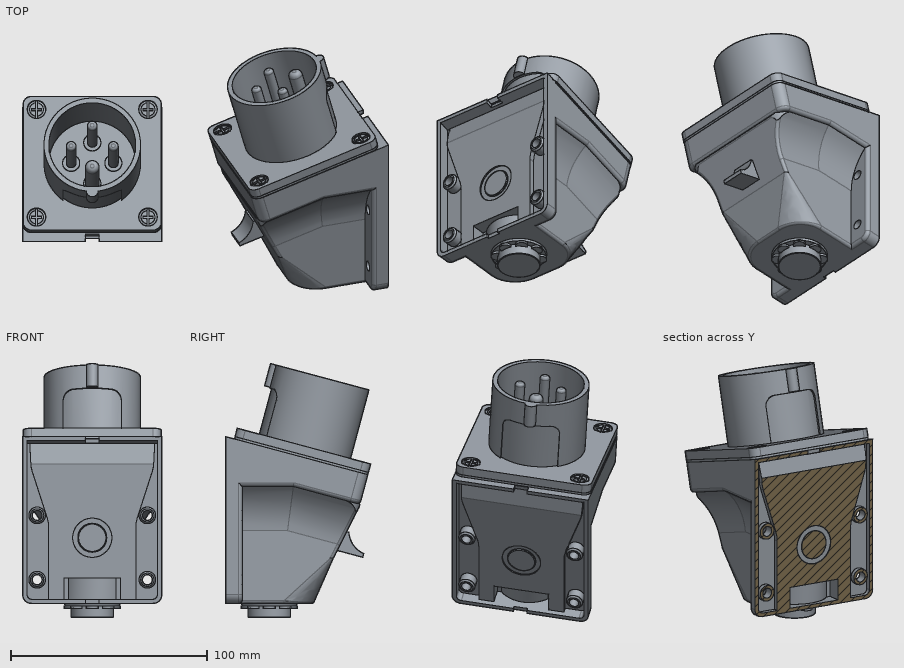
import cadquery as cq
import math

TILT_DEGREES = 15
TILT = math.radians(TILT_DEGREES)
SIN, COS = math.sin(TILT), math.cos(TILT)
CUT_EXTRA = 1.0
TOLERANCE = 0.01

FLANGE_SIZE = 70.5
FLANGE_THICKNESS = 4.5
FLANGE_CORNER = 4.25
LIP_HEIGHT = 1.2
LIP_INSET = 0.1
FLANGE_CENTRE_Y = 39.92
FLANGE_CENTRE_Z = 80.25
COLLAR_OD = 49.25
COLLAR_ID = 44.25
COLLAR_HEIGHT = 36.2
KEY_WIDTH = 6.1
KEY_REACH = 27.4
KEY_LENGTH = 11.8
WINDOW_WIDTH = 29.6
WINDOW_DEPTH = 1.0
WINDOW_CORNER = 5.0
WINDOW_KEY_GAP = 0.4
WINDOW_TOP = COLLAR_HEIGHT - KEY_LENGTH - WINDOW_KEY_GAP
PIN_CIRCLE_RADIUS = 10.75
PIN_HEIGHT = 34.5
PIN_D = 5.0
EARTH_PIN_D = 7.0
PIN_TIP_FLAT_D = 2.0
PIN_COLLAR_D = 8.75
PIN_COLLAR_HEIGHT = 0.5
SCREW_OFFSET = 28.4
SCREW_RECESS_D = 9.5
SCREW_RECESS_DEPTH = 2.5
SCREW_HEAD_D = 9.3
SCREW_TOP_D = 7.0
SCREW_SINK = 0.3
SCREW_BEVEL_HEIGHT = 0.4
SLOT_WIDTH = 1.2
SLOT_DEPTH = 1.0
CROSS_LENGTH = 5.3

HOUSING_WIDTH = 71.0
HALF_WIDTH = HOUSING_WIDTH / 2
TRAY_DEPTH = 8.5
TRAY_FLOOR_Y = 5.8
TRAY_CORNER = 4.5
TRAY_INNER_CORNER = 2.5
TRAY_WALL = 2.3
TRAY_BOTTOM_WALL = 2.1
BOX_CORNER = 5.1
BOX_DEPTH = 21.35
BOX_EDGE_RADIUS = 1.9
TRAY_SHOULDER_Z = 59.6
NOTCH_WIDTH = 7.0
TOP_NOTCH_DEPTH = 3.9
BOTTOM_NOTCH_DEPTH = 1.5

HUMP_HALF_WIDTH = 23.6
FLARE_CORNER = 8.0
FLARE_DROP = 22.5
HUMP_BEND_Y, HUMP_BEND_Z = 54.9, 23.1
HUMP_BACK_Y, HUMP_BACK_Z = 68.5, 50.1
HUMP_BOTTOM_Y = 44.7
HUMP_BOTTOM_CORNER = 16.5
HUMP_BACK_RADIUS = 1.5
HUMP_FOOT_RADIUS = 1.5

PLATE_Y = 2.8
PLATE_LOW_HALF_WIDTH = 22.2
PLATE_LOW_Z = 41.3
PLATE_HIGH_HALF_WIDTH = 31.2
PLATE_HIGH_Z = 69.2
PLATE_TOP_HALF_WIDTH = 32.0
PLATE_EDGE_RADIUS = 15.0
PLATE_BEND_Z = 71.1
KNOCKOUT_D = 20.0
KNOCKOUT_Z = 33.5
KNOCKOUT_DEPTH = 0.8
KNOCKOUT_DISC_D = 14.8
KNOCKOUT_BEVEL = 0.45

BOSS_X = 28.07
BOSS_ZS = (12.1, 44.9)
BOSS_D = 8.5
BOSS_TIP_D = 6.75
BOSS_HOLE_D = 5.0
BOSS_TIP_Y = 0.2

GLAND_Y = 22.2
GLAND_FLANGE_D = 28.6
GLAND_NECK_END_D = 27.7
GLAND_TUBE_D = 21.75
GLAND_INNER_D = 33.2
GLAND_NECK_HEIGHT = 1.2
GLAND_FLANGE_BOTTOM = -2.5
GLAND_BOTTOM = -7.07
GLAND_CHAMFER = 0.3
GLAND_LOBES = 8
GLAND_LOBE_D = 6.2
GLAND_SLOT_TOP = 12.9
GLAND_SLOT_BACK_Y = 10.8

RIB_WIDTH = 12.0
RIB_THICKNESS = 2.0
RIB_TIP = (70.4, 25.4)
RIB_ARC_MIDDLE = (64.7, 30.4)
RIB_ARC_TOP = (62.8, 36.5)
RIB_ROOT_Y = 50.0


def tilted(v, w):
    """(y, z) of a point v along the flange towards +Y and w above the flange top."""
    return FLANGE_CENTRE_Y + v * COS + w * SIN, FLANGE_CENTRE_Z - v * SIN + w * COS


FLANGE_HALF = FLANGE_SIZE / 2
SEAT_W = -FLANGE_THICKNESS - LIP_HEIGHT
SEAT_Y, SEAT_Z = tilted(0, SEAT_W)
FRONT_TOP_Z = SEAT_Z + SEAT_Y * math.tan(TILT)
BREAK_V = (FLANGE_CENTRE_Z - BOX_DEPTH * COS - TRAY_SHOULDER_Z) / SIN
BREAK_Y = tilted(BREAK_V, -BOX_DEPTH)[0]


def tilt_into_place(body):
    """Turn a body built upright on the flange top, and put it on the housing."""
    leaning = body.rotate((0, 0, 0), (1, 0, 0), -TILT_DEGREES)
    return leaning.translate((0, FLANGE_CENTRE_Y, FLANGE_CENTRE_Z))


def side_extrusion(points, width):
    """Closed outline of (y, z) points, extruded symmetrically along X."""
    return cq.Workplane("YZ").polyline(points).close().extrude(width / 2, both=True)


def rod(x, y, z, diameter, y_end):
    """Cylinder along +Y from y to y_end."""
    plane = cq.Plane(origin=(x, y, z), xDir=(1, 0, 0), normal=(0, 1, 0))
    return cq.Workplane(plane).circle(diameter / 2).extrude(y_end - y)


def flange():
    plate = (
        cq.Workplane("XY")
        .rect(FLANGE_SIZE, FLANGE_SIZE)
        .extrude(-FLANGE_THICKNESS)
        .edges("|Z")
        .fillet(FLANGE_CORNER)
    )
    lip_size = FLANGE_SIZE - 2 * LIP_INSET
    lip = (
        cq.Workplane("XY").workplane(offset=-FLANGE_THICKNESS)
        .rect(lip_size, lip_size)
        .extrude(-LIP_HEIGHT)
        .edges("|Z")
        .fillet(FLANGE_CORNER - LIP_INSET)
    )
    return plate.union(lip)


def collar():
    outer_radius = COLLAR_OD / 2
    tube = cq.Workplane("XY").circle(outer_radius).extrude(COLLAR_HEIGHT)
    key_radius = KEY_WIDTH / 2
    nose_y = -(KEY_REACH - key_radius)
    key = (
        cq.Workplane("XY").workplane(offset=COLLAR_HEIGHT)
        .moveTo(-key_radius, -COLLAR_ID / 2)
        .lineTo(-key_radius, nose_y)
        .threePointArc((0, -KEY_REACH), (key_radius, nose_y))
        .lineTo(key_radius, -COLLAR_ID / 2)
        .close()
        .extrude(-KEY_LENGTH)
    )
    bore = cq.Workplane("XY").circle(COLLAR_ID / 2).extrude(COLLAR_HEIGHT)
    return tube.cut(window()).union(key).cut(bore)


def window():
    """Shallow round-cornered recess in the collar's outside, below the key."""
    opening = (
        cq.Workplane("XZ")
        .center(0, WINDOW_TOP / 2)
        .rect(WINDOW_WIDTH, WINDOW_TOP)
        .extrude(COLLAR_OD)
        .edges("|Y and >Z")
        .fillet(WINDOW_CORNER)
    )
    core_radius = COLLAR_OD / 2 - WINDOW_DEPTH
    core = cq.Workplane("XY").circle(core_radius).extrude(COLLAR_HEIGHT)
    return opening.cut(core)


def pin(x, y, diameter):
    tip_radius = (diameter - PIN_TIP_FLAT_D) / 2
    body = (
        cq.Workplane("XY")
        .center(x, y)
        .circle(diameter / 2)
        .extrude(PIN_HEIGHT)
        .faces(">Z")
        .edges()
        .fillet(tip_radius)
    )
    foot = cq.Workplane("XY").center(x, y).circle(PIN_COLLAR_D / 2).extrude(PIN_COLLAR_HEIGHT)
    return body.union(foot)


def screw_recess(x, y):
    return cq.Workplane("XY").center(x, y).circle(SCREW_RECESS_D / 2).extrude(-SCREW_RECESS_DEPTH)


def screw_head(x, y):
    top = cq.Workplane("XY").workplane(offset=-SCREW_SINK).center(x, y)
    head = (
        top.circle(SCREW_HEAD_D / 2)
        .extrude(SCREW_SINK - SCREW_RECESS_DEPTH)
        .faces(">Z")
        .chamfer(SCREW_BEVEL_HEIGHT, (SCREW_HEAD_D - SCREW_TOP_D) / 2)
    )
    slot = top.rect(SLOT_WIDTH, SCREW_HEAD_D).extrude(-SLOT_DEPTH)
    cross = top.rect(CROSS_LENGTH, SLOT_WIDTH).extrude(-SLOT_DEPTH)
    return head.cut(slot).cut(cross)


def make_inlet():
    body = flange().union(collar())
    body = body.union(pin(0, -PIN_CIRCLE_RADIUS, EARTH_PIN_D))
    for x, y in ((-PIN_CIRCLE_RADIUS, 0), (0, PIN_CIRCLE_RADIUS), (PIN_CIRCLE_RADIUS, 0)):
        body = body.union(pin(x, y, PIN_D))
    for x in (-SCREW_OFFSET, SCREW_OFFSET):
        for y in (-SCREW_OFFSET, SCREW_OFFSET):
            body = body.cut(screw_recess(x, y)).union(screw_head(x, y))
    return tilt_into_place(body)


def tray_and_box():
    """Full-width L-shaped body: the tray at the front and the tilted box carrying the inlet."""
    box_back_low = tilted(FLANGE_HALF, -BOX_DEPTH)
    outline = [
        (0, 0),
        (TRAY_DEPTH, 0),
        (TRAY_DEPTH, TRAY_SHOULDER_Z),
        (BREAK_Y, TRAY_SHOULDER_Z),
        box_back_low,
        tilted(FLANGE_HALF, SEAT_W),
        (0, FRONT_TOP_Z),
    ]
    body = side_extrusion(outline, HOUSING_WIDTH)
    body = body.edges("|Y").edges("<Z").fillet(TRAY_CORNER)
    body = body.edges(cq.selectors.ParallelDirSelector(cq.Vector(0, SIN, COS))).fillet(BOX_CORNER)
    rim = [edge for edge in body.edges().vals() if is_lower_edge(edge)]
    return body.newObject(rim).fillet(BOX_EDGE_RADIUS)


def is_lower_edge(edge):
    """True along the tray's back rim and the rim of the box underside."""
    c = edge.Center()
    outer = abs(c.x) > TOLERANCE or c.y > HUMP_BEND_Y
    w = (c.y - FLANGE_CENTRE_Y) * SIN + (c.z - FLANGE_CENTRE_Z) * COS
    on_tray = abs(c.y - TRAY_DEPTH) < TOLERANCE and c.z < TRAY_SHOULDER_Z - TOLERANCE
    on_level = outer and abs(c.z - TRAY_SHOULDER_Z) < TOLERANCE
    on_slope = outer and abs(w + BOX_DEPTH) < TOLERANCE
    return on_tray or on_level or on_slope


def flare_prism(plane):
    """Prism whose width narrows along concave arcs below the box underside (local y = 0)."""
    wide = HALF_WIDTH - BOX_EDGE_RADIUS
    reach = wide - HUMP_HALF_WIDTH
    radius = (reach**2 + FLARE_DROP**2) / (2 * reach)
    half_angle = math.atan2(reach, FLARE_DROP)
    mid_x = HUMP_HALF_WIDTH + radius * (1 - math.cos(half_angle))
    mid_y = radius * math.sin(half_angle) - FLARE_DROP
    low = -TRAY_SHOULDER_Z
    return (
        cq.Workplane(plane)
        .moveTo(-HUMP_HALF_WIDTH, low)
        .lineTo(-HUMP_HALF_WIDTH, -FLARE_DROP)
        .threePointArc((-mid_x, mid_y), (-wide, 0))
        .lineTo(-wide, BOX_EDGE_RADIUS)
        .lineTo(wide, BOX_EDGE_RADIUS)
        .lineTo(wide, 0)
        .threePointArc((mid_x, mid_y), (HUMP_HALF_WIDTH, -FLARE_DROP))
        .lineTo(HUMP_HALF_WIDTH, low)
        .close()
        .extrude(HOUSING_WIDTH, both=True)
    )


def upper_hump():
    outline = [
        (TRAY_FLOOR_Y, HUMP_BEND_Z),
        (HUMP_BEND_Y, HUMP_BEND_Z),
        (HUMP_BACK_Y, HUMP_BACK_Z),
        tilted(FLANGE_HALF - BOX_EDGE_RADIUS, -BOX_DEPTH + BOX_EDGE_RADIUS),
        (BREAK_Y, TRAY_SHOULDER_Z + BOX_EDGE_RADIUS),
        (TRAY_FLOOR_Y, TRAY_SHOULDER_Z + BOX_EDGE_RADIUS),
    ]
    origin = (0, BREAK_Y, TRAY_SHOULDER_Z)
    level = flare_prism(cq.Plane(origin=origin, xDir=(1, 0, 0), normal=(0, -1, 0)))
    sloped = flare_prism(cq.Plane(origin=origin, xDir=(1, 0, 0), normal=(0, -COS, SIN)))
    body = side_extrusion(outline, HOUSING_WIDTH).intersect(level.union(sloped))
    back_normal = cq.Vector(0, HUMP_BACK_Z - HUMP_BEND_Z, HUMP_BEND_Y - HUMP_BACK_Y)
    back = body.faces(cq.selectors.DirectionMinMaxSelector(back_normal, True))
    body = back.edges("not |X").fillet(HUMP_BACK_RADIUS)
    return body.intersect(box_footprint())


def box_footprint():
    """Tilted round-cornered prism that keeps the flare inside the box's back corners."""
    width = HOUSING_WIDTH - 2 * BOX_EDGE_RADIUS
    prism = (
        cq.Workplane("XY")
        .rect(width, 2 * FLANGE_SIZE)
        .extrude(2 * HOUSING_WIDTH, both=True)
        .translate((0, -FLANGE_HALF, 0))
        .edges("|Z and >Y")
        .fillet(FLARE_CORNER)
    )
    return tilt_into_place(prism)


def hump_section(sketch, back_y, corner):
    inner = HUMP_HALF_WIDTH - corner
    diagonal = corner * math.sqrt(0.5)
    corner_y = back_y - corner
    return (
        sketch.moveTo(-HUMP_HALF_WIDTH, TRAY_FLOOR_Y)
        .lineTo(-HUMP_HALF_WIDTH, corner_y)
        .threePointArc((-inner - diagonal, corner_y + diagonal), (-inner, back_y))
        .lineTo(inner, back_y)
        .threePointArc((inner + diagonal, corner_y + diagonal), (HUMP_HALF_WIDTH, corner_y))
        .lineTo(HUMP_HALF_WIDTH, TRAY_FLOOR_Y)
        .close()
    )


def lower_hump():
    """Ruled body whose back corners widen from nearly sharp to large rounds at the bottom."""
    bottom = hump_section(cq.Workplane("XY"), HUMP_BOTTOM_Y, HUMP_BOTTOM_CORNER)
    both = hump_section(bottom.workplane(offset=HUMP_BEND_Z), HUMP_BEND_Y, HUMP_BACK_RADIUS)
    return both.loft(ruled=True).faces("<Z").edges("not <Y").fillet(HUMP_FOOT_RADIUS)


def rib():
    tip_low = (RIB_TIP[0] - RIB_THICKNESS * SIN, RIB_TIP[1] - RIB_THICKNESS * COS)
    root_z = tip_low[1] + (tip_low[0] - RIB_ROOT_Y) * math.tan(TILT)
    return (
        cq.Workplane("YZ")
        .moveTo(*tip_low)
        .lineTo(*RIB_TIP)
        .threePointArc(RIB_ARC_MIDDLE, RIB_ARC_TOP)
        .lineTo(RIB_ROOT_Y, RIB_ARC_TOP[1])
        .lineTo(RIB_ROOT_Y, root_z)
        .close()
        .extrude(RIB_WIDTH / 2, both=True)
    )


def tray_pocket():
    inner_half = HALF_WIDTH - TRAY_WALL
    top_z = FRONT_TOP_Z - TRAY_BOTTOM_WALL
    outline = [
        (-CUT_EXTRA, TRAY_BOTTOM_WALL),
        (TRAY_FLOOR_Y, TRAY_BOTTOM_WALL),
        (TRAY_FLOOR_Y, top_z - TRAY_FLOOR_Y * math.tan(TILT)),
        (-CUT_EXTRA, top_z + CUT_EXTRA * math.tan(TILT)),
    ]
    pocket = side_extrusion(outline, 2 * inner_half)
    return pocket.edges("|Y").fillet(TRAY_INNER_CORNER).cut(plate())


def plate():
    """Plate in the tray: narrow below, wide above, its upper part leaning back."""
    outline = [
        (PLATE_Y, 0),
        (TRAY_DEPTH, 0),
        (TRAY_DEPTH, FRONT_TOP_Z),
        (PLATE_Y + (FRONT_TOP_Z - PLATE_BEND_Z) * math.tan(TILT), FRONT_TOP_Z),
        (PLATE_Y, PLATE_BEND_Z),
    ]
    right_edge = [
        (PLATE_LOW_HALF_WIDTH, 0),
        (PLATE_LOW_HALF_WIDTH, PLATE_LOW_Z),
        (PLATE_HIGH_HALF_WIDTH, PLATE_HIGH_Z),
        (PLATE_TOP_HALF_WIDTH, FRONT_TOP_Z),
    ]
    left_edge = [(-x, z) for x, z in reversed(right_edge)]
    face = cq.Workplane("XZ").polyline(right_edge + left_edge).close().extrude(-TRAY_DEPTH)
    bends = cq.selectors.BoxSelector(
        (-HALF_WIDTH, 0, PLATE_LOW_Z - TOLERANCE), (HALF_WIDTH, TRAY_DEPTH, PLATE_HIGH_Z + TOLERANCE)
    )
    face = face.edges("|Y").edges(bends).fillet(PLATE_EDGE_RADIUS)
    return face.intersect(side_extrusion(outline, HOUSING_WIDTH))


def knockout_groove():
    floor_y = PLATE_Y + KNOCKOUT_DEPTH
    disc = rod(0, PLATE_Y, KNOCKOUT_Z, KNOCKOUT_DISC_D, floor_y).faces("<Y").chamfer(KNOCKOUT_BEVEL)
    return rod(0, PLATE_Y, KNOCKOUT_Z, KNOCKOUT_D, floor_y).cut(disc)


def notch(edge_z, depth):
    """Cut through the tray's top or bottom wall, centred on its outer edge."""
    height = 2 * (TRAY_WALL + CUT_EXTRA)
    return cq.Workplane("XY").box(NOTCH_WIDTH, 2 * depth, height).translate((0, 0, edge_z))


def gland_slot():
    """Opening in the foot of the plate around the gland's inner barrel."""
    slot = cq.Workplane("XY").box(
        GLAND_FLANGE_D, GLAND_SLOT_BACK_Y, GLAND_SLOT_TOP - TRAY_BOTTOM_WALL, centered=(True, False, False)
    ).translate((0, 0, TRAY_BOTTOM_WALL))
    barrel = cq.Workplane("XY").center(0, GLAND_Y).circle(GLAND_INNER_D / 2).extrude(GLAND_SLOT_TOP)
    return slot.cut(barrel)


def gland():
    centre = cq.Workplane("XY").center(0, GLAND_Y)
    flange_top = -GLAND_NECK_HEIGHT
    neck = (
        centre.circle(GLAND_FLANGE_D / 2)
        .workplane(offset=flange_top)
        .circle(GLAND_NECK_END_D / 2)
        .loft()
    )
    tube = centre.circle(GLAND_TUBE_D / 2).extrude(GLAND_BOTTOM).faces("<Z").chamfer(GLAND_CHAMFER)
    lobe_circle = (GLAND_FLANGE_D - GLAND_LOBE_D) / 2
    lobes = (
        centre.workplane(offset=flange_top)
        .polarArray(lobe_circle, 0, 360, GLAND_LOBES)
        .circle(GLAND_LOBE_D / 2)
        .extrude(GLAND_FLANGE_BOTTOM - flange_top)
    )
    return neck.union(tube).union(lobes)


def make_housing():
    body = tray_and_box().union(lower_hump()).union(rib())
    body = body.cut(tray_pocket()).cut(knockout_groove()).cut(gland_slot())
    body = body.cut(notch(0, BOTTOM_NOTCH_DEPTH)).cut(notch(FRONT_TOP_Z, TOP_NOTCH_DEPTH))
    for x in (-BOSS_X, BOSS_X):
        for z in BOSS_ZS:
            boss = rod(x, BOSS_TIP_Y, z, BOSS_D, TRAY_DEPTH)
            boss = boss.faces("<Y").chamfer((BOSS_D - BOSS_TIP_D) / 2)
            body = body.union(boss).cut(rod(x, BOSS_TIP_Y, z, BOSS_HOLE_D, TRAY_DEPTH))
    tray_space = cq.Workplane("XY").box(
        HOUSING_WIDTH, TRAY_DEPTH, FRONT_TOP_Z, centered=(True, False, False)
    )
    return body.union(upper_hump().cut(tray_space)).union(gland())


inlet = make_inlet()
housing = make_housing()
result = cq.Compound.makeCompound([*housing.vals(), *inlet.vals()])